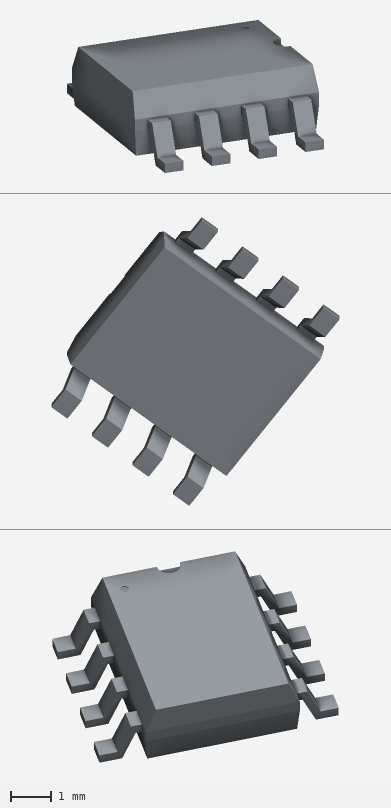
import cadquery as cq

SPAN_X = 6.2
BODY_WIDTH = 3.99
BODY_LENGTH = 5.0
TOP_Z = 1.75

STANDOFF = 0.105
BAND_BOTTOM_Z = 0.775
BAND_TOP_Z = 1.09

DRAFT_INSET = 0.055
TOP_BEVEL_INSET = 0.28

NOTCH_RADIUS = 0.31
NOTCH_DEPTH = 0.17
DOT_RADIUS = 0.1
DOT_DEPTH = 0.025
DOT_X = -1.295

LEADS_PER_SIDE = 4
LEAD_PITCH = 1.27
LEAD_WIDTH = 0.5
LEAD_THICKNESS = 0.255
SHOULDER_TOP_Z = 1.05
SHOULDER_LENGTH = 0.29
FOOT_LENGTH = 0.59
BEND_SHIFT = 0.125

LEAD_ROW_START = -LEAD_PITCH * (LEADS_PER_SIDE - 1) / 2
LEAD_ROWS = [LEAD_ROW_START + i * LEAD_PITCH for i in range(LEADS_PER_SIDE)]


def frustum(bottom_z, bottom_size, top_z, top_size):
    """Solid with straight sides between two centred rectangles."""
    return (
        cq.Workplane("XY", origin=(0, 0, bottom_z))
        .rect(*bottom_size)
        .workplane(offset=top_z - bottom_z)
        .rect(*top_size)
        .loft(ruled=True)
    )


def top_recess(x, y, radius, depth):
    """Round cutter that reaches down from the top face."""
    return cq.Workplane("XY", origin=(x, y, TOP_Z - depth)).circle(radius).extrude(depth)


def make_housing():
    band_size = (BODY_WIDTH, BODY_LENGTH)
    bottom_size = (BODY_WIDTH - 2 * DRAFT_INSET, BODY_LENGTH - 2 * DRAFT_INSET)
    top_size = (BODY_WIDTH - 2 * TOP_BEVEL_INSET, BODY_LENGTH - 2 * DRAFT_INSET)

    lower = frustum(STANDOFF, bottom_size, BAND_BOTTOM_Z, band_size)
    band = frustum(BAND_BOTTOM_Z, band_size, BAND_TOP_Z, band_size)
    upper = frustum(BAND_TOP_Z, band_size, TOP_Z, top_size)

    notch = top_recess(0, top_size[1] / 2, NOTCH_RADIUS, NOTCH_DEPTH)
    dot = top_recess(DOT_X, LEAD_ROWS[-1], DOT_RADIUS, DOT_DEPTH)

    return lower.union(band).union(upper).cut(notch).cut(dot)


def make_lead(side, y):
    """Gull-wing lead; side is +1 or -1 for the +X or -X side of the housing."""
    root_x = BODY_WIDTH / 2
    tip_x = SPAN_X / 2
    shoulder_x = root_x + SHOULDER_LENGTH
    foot_x = tip_x - FOOT_LENGTH
    shoulder_bottom_z = SHOULDER_TOP_Z - LEAD_THICKNESS

    profile = [
        (root_x, SHOULDER_TOP_Z),
        (shoulder_x, SHOULDER_TOP_Z),
        (foot_x + BEND_SHIFT, LEAD_THICKNESS),
        (tip_x, LEAD_THICKNESS),
        (tip_x, 0),
        (foot_x, 0),
        (shoulder_x - BEND_SHIFT, shoulder_bottom_z),
        (root_x, shoulder_bottom_z),
    ]
    return (
        cq.Workplane("XZ", origin=(0, y, 0))
        .polyline([(side * x, z) for x, z in profile])
        .close()
        .extrude(LEAD_WIDTH / 2, both=True)
    )


housing = make_housing()
leads = [make_lead(side, y) for side in (-1, 1) for y in LEAD_ROWS]

result = cq.Compound.makeCompound([housing.val(), *[lead.val() for lead in leads]])